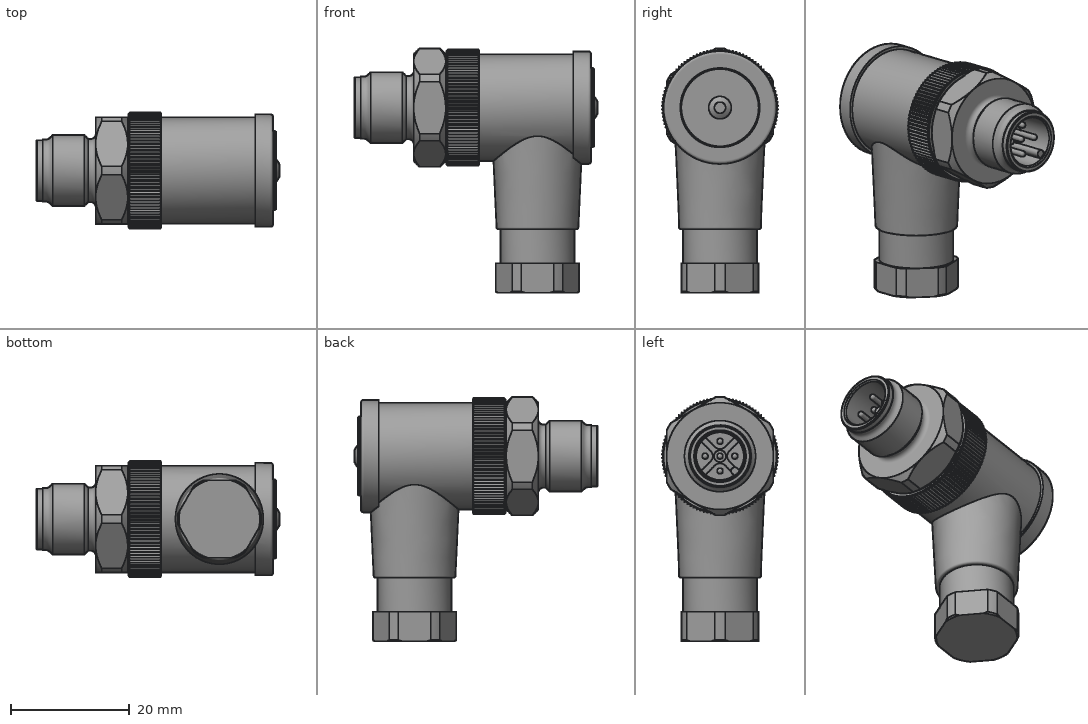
import cadquery as cq
import math


TIP_R = 5.15
TIP_EDGE = 0.15
TIP_END = 1.1
COLLAR_R = 5.25
COLLAR_END = 1.6
THREAD_FOOT_FILLET = 1.0
THREAD_R = 6.0
THREAD_END = 8.05
UNDERCUT_R = 5.35
UNDERCUT_START = 8.75
UNDERCUT_FILLET = 0.8

BORE_R = 4.15
BORE_CHAMFER = 0.25
BORE_DEPTH = 8.0
FLOOR_CHAMFER = 0.15
PIN_R = 0.5
PIN_TIP_EDGE = 0.47
OUTER_PIN_TIP_X = 1.75
CENTRE_PIN_TIP_X = 2.1
PIN_PITCH_R = 2.5
KEY_R = 0.62
KEY_TIP_X = 0.5
KEY_ANGLE = 225
CROSS_WIDTH = 1.0
CROSS_CORNER_R = 1.24
CROSS_DEPTH = 0.3
POST_R = 1.0
ROOT_OVERLAP = 0.5

NUT_START = 10.0
NUT_END = 15.4
NUT_FLATS = 18.0
NUT_CORNER_R = 10.0
NUT_FACE_R = NUT_FLATS / 2
NUT_CHAMFER = NUT_CORNER_R - NUT_FACE_R

KNURL_START = 15.5
KNURL_END = 21.05
KNURL_TEETH = 100
KNURL_PEAK_R = 9.8
KNURL_ROOT_R = 9.5
KNURL_FRONT_CHAMFER = KNURL_PEAK_R - KNURL_ROOT_R
KNURL_BACK_CHAMFER = KNURL_FRONT_CHAMFER / 2

BODY_R = 9.0
CAP_R = 9.5
CAP_START = 36.85
CAP_END = 39.9
CAP_EDGE = 0.5
DISC_R = 6.7
DISC_END = 40.4
DISC_EDGE = 0.2
DOME_BASE_R = 1.9
DOME_TIP_R = 0.95
DOME_END = 41.0
DOME_BULGE = 0.1

BRANCH_X = 30.85
BRANCH_TAPER = 2.6
SHELL_BOTTOM_Z = -20.5
SHELL_BOTTOM_R = 6.9
SHELL_EDGE = 0.35
NECK_R = 6.25
GLAND_TOP_Z = -26.2
GLAND_BOTTOM_Z = -31.2
GLAND_FLATS = 13.0
GLAND_CORNER_R = 7.05
GLAND_CHAMFER = 0.25


def along_x(start, end, radius):
    """Cylinder on the plug axis."""
    return cq.Workplane("YZ", origin=(start, 0, 0)).circle(radius).extrude(end - start)


def hex_across_flats(plane, flats, length):
    return plane.polygon(6, flats / math.cos(math.pi / 6)).extrude(length)


def spin_x(profile):
    """Turn a closed (x, radius) profile about the plug axis."""
    return profile.close().revolve(360, (0, 0, 0), (1, 0, 0))


def arc_point(start_x, base_r, fillet, angle):
    """Point on a concave fillet that leaves the line radius = base_r at start_x and has turned by angle."""
    turn = math.radians(angle)
    return (start_x + fillet * math.sin(turn), base_r + fillet * (1 - math.cos(turn)))


def make_sleeve():
    foot_mid = arc_point(COLLAR_END, COLLAR_R, THREAD_FOOT_FILLET, 22.5)
    foot_x, foot_r = arc_point(COLLAR_END, COLLAR_R, THREAD_FOOT_FILLET, 45)
    thread_start = foot_x + THREAD_R - foot_r
    fillet_x = NUT_START - UNDERCUT_FILLET
    fillet_mid = arc_point(fillet_x, UNDERCUT_R, UNDERCUT_FILLET, 45)
    profile = (
        cq.Workplane("XY")
        .moveTo(0, 0)
        .lineTo(0, TIP_R - TIP_EDGE)
        .lineTo(TIP_EDGE, TIP_R)
        .lineTo(TIP_END, TIP_R)
        .lineTo(TIP_END, COLLAR_R)
        .lineTo(COLLAR_END, COLLAR_R)
        .threePointArc(foot_mid, (foot_x, foot_r))
        .lineTo(thread_start, THREAD_R)
        .lineTo(THREAD_END, THREAD_R)
        .lineTo(UNDERCUT_START, UNDERCUT_R)
        .lineTo(fillet_x, UNDERCUT_R)
        .threePointArc(fillet_mid, (NUT_START, UNDERCUT_R + UNDERCUT_FILLET))
        .lineTo(NUT_END, UNDERCUT_R + UNDERCUT_FILLET)
        .lineTo(NUT_END, 0)
    )
    return spin_x(profile)


def make_nut():
    """Hexagon with corners at +Z and -Z, its corners turned down and chamfered on both faces."""
    plane = cq.Workplane("YZ", origin=(NUT_START, 0, 0)).transformed(rotate=(0, 0, 90))
    hexagon = hex_across_flats(plane, NUT_FLATS, NUT_END - NUT_START)
    turned = along_x(NUT_START, NUT_END, NUT_CORNER_R).edges().chamfer(NUT_CHAMFER)
    return hexagon.intersect(turned)


def make_knurled_ring():
    """Ring of V-shaped teeth with a valley on the Y axis."""
    half_step = math.pi / KNURL_TEETH
    outline = []
    for tooth in range(KNURL_TEETH):
        valley = 2 * tooth * half_step
        peak = valley + half_step
        outline.append((KNURL_ROOT_R * math.cos(valley), KNURL_ROOT_R * math.sin(valley)))
        outline.append((KNURL_PEAK_R * math.cos(peak), KNURL_PEAK_R * math.sin(peak)))
    plane = cq.Workplane("YZ", origin=(KNURL_START, 0, 0))
    toothed = plane.polyline(outline).close().extrude(KNURL_END - KNURL_START)
    turned = spin_x(
        cq.Workplane("XY")
        .moveTo(KNURL_START, 0)
        .lineTo(KNURL_START, KNURL_ROOT_R)
        .lineTo(KNURL_START + KNURL_FRONT_CHAMFER, KNURL_PEAK_R)
        .lineTo(KNURL_END - KNURL_BACK_CHAMFER, KNURL_PEAK_R)
        .lineTo(KNURL_END, KNURL_ROOT_R)
        .lineTo(KNURL_END, 0)
    )
    return toothed.intersect(turned)


def make_body():
    cap = along_x(CAP_START, CAP_END, CAP_R).faces(">X").edges().fillet(CAP_EDGE)
    disc = along_x(CAP_END, DISC_END, DISC_R).faces(">X").edges().chamfer(DISC_EDGE)
    return along_x(NUT_END, CAP_START, BODY_R).union(cap).union(disc)


def make_dome():
    middle = ((DISC_END + DOME_END) / 2, (DOME_BASE_R + DOME_TIP_R) / 2 + DOME_BULGE)
    profile = (
        cq.Workplane("XY")
        .moveTo(CAP_END, 0)
        .lineTo(CAP_END, DOME_BASE_R)
        .lineTo(DISC_END, DOME_BASE_R)
        .threePointArc(middle, (DOME_END, DOME_TIP_R))
        .lineTo(DOME_END, 0)
    )
    return spin_x(profile)


def make_branch():
    """Tapered shell from the plug axis down, then the neck and the hexagonal gland nut."""
    shell_top_r = SHELL_BOTTOM_R - SHELL_BOTTOM_Z * math.tan(math.radians(BRANCH_TAPER))
    shell = (
        cq.Workplane("XZ")
        .moveTo(0, 0)
        .lineTo(shell_top_r, 0)
        .lineTo(SHELL_BOTTOM_R, SHELL_BOTTOM_Z)
        .lineTo(0, SHELL_BOTTOM_Z)
        .close()
        .revolve(360, (0, 0, 0), (0, 1, 0))
        .faces("<Z")
        .edges()
        .fillet(SHELL_EDGE)
    )
    neck = cq.Workplane("XY", origin=(0, 0, GLAND_TOP_Z)).circle(NECK_R).extrude(-GLAND_TOP_Z)
    gland_height = GLAND_TOP_Z - GLAND_BOTTOM_Z
    plane = cq.Workplane("XY", origin=(0, 0, GLAND_BOTTOM_Z))
    turned = plane.circle(GLAND_CORNER_R).extrude(gland_height).faces("<Z").edges().chamfer(GLAND_CHAMFER)
    gland = hex_across_flats(plane, GLAND_FLATS, gland_height).intersect(turned)
    return shell.union(neck).union(gland).translate((BRANCH_X, 0, 0))


def make_socket():
    bore = along_x(0, BORE_DEPTH, BORE_R).faces(">X").edges().chamfer(FLOOR_CHAMFER)
    mouth = cq.Workplane("YZ").circle(BORE_R + BORE_CHAMFER).extrude(BORE_CHAMFER, taper=45)
    return bore.union(mouth)


def make_cross_recess():
    """Diagonal cross in the socket floor with rounded inner corners, leaving a round centre post."""
    floor = cq.Workplane("YZ", origin=(BORE_DEPTH, 0, 0))
    arm_length = 2 * BORE_R
    cross = (
        floor.rect(arm_length, CROSS_WIDTH)
        .extrude(CROSS_DEPTH)
        .union(floor.rect(CROSS_WIDTH, arm_length).extrude(CROSS_DEPTH))
    )
    inner = cq.selectors.BoxSelector(
        (BORE_DEPTH - CROSS_DEPTH, -CROSS_WIDTH, -CROSS_WIDTH),
        (BORE_DEPTH + 2 * CROSS_DEPTH, CROSS_WIDTH, CROSS_WIDTH),
    )
    cross = cross.edges("|X").edges(inner).fillet(CROSS_CORNER_R)
    cross = cross.rotate((0, 0, 0), (1, 0, 0), 45)
    within_floor = along_x(BORE_DEPTH, BORE_DEPTH + CROSS_DEPTH, BORE_R - FLOOR_CHAMFER)
    post = along_x(BORE_DEPTH, BORE_DEPTH + CROSS_DEPTH, POST_R)
    return cross.intersect(within_floor).cut(post)


def make_pin(tip_x, y, z):
    pin = along_x(tip_x, BORE_DEPTH + ROOT_OVERLAP, PIN_R).faces("<X").edges().fillet(PIN_TIP_EDGE)
    return pin.translate((0, y, z))


def make_key():
    """Coding rib on the bore wall at -Y -Z: round towards the axis, straight out to the wall."""
    length = BORE_DEPTH + ROOT_OVERLAP - KEY_TIP_X
    centre_r = BORE_R - KEY_R
    plane = cq.Workplane("YZ", origin=(KEY_TIP_X, 0, 0))
    nose = plane.center(centre_r, 0).circle(KEY_R).extrude(length)
    web_size = 2 * KEY_R
    web = plane.center(BORE_R, 0).rect(web_size, web_size).extrude(length)
    inside_sleeve = along_x(0, BORE_DEPTH + ROOT_OVERLAP, (BORE_R + TIP_R) / 2)
    return nose.union(web).intersect(inside_sleeve).rotate((0, 0, 0), (1, 0, 0), KEY_ANGLE)


result = make_sleeve().union(make_nut()).union(make_body())
result = result.union(make_knurled_ring()).union(make_dome()).union(make_branch())
result = result.cut(make_socket()).cut(make_cross_recess())

result = result.union(make_pin(CENTRE_PIN_TIP_X, 0, 0))
for quarter_turn in range(4):
    angle = quarter_turn * math.pi / 2
    pin_y = PIN_PITCH_R * math.cos(angle)
    pin_z = PIN_PITCH_R * math.sin(angle)
    result = result.union(make_pin(OUTER_PIN_TIP_X, pin_y, pin_z))
result = result.union(make_key())